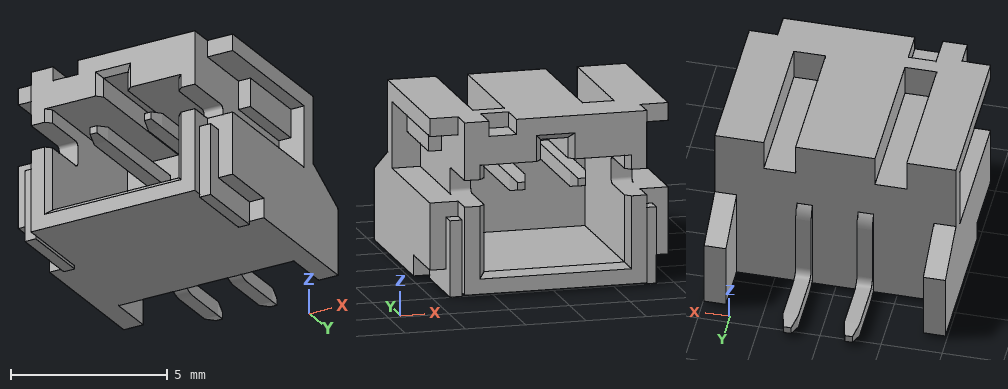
import cadquery as cq


body_width = 7.9
body_height = 5.7
nose_width = 6.04
nose_length = 0.81
roof_length = 6.0
wing_end = 7.6
wing_thickness = 0.72
slope_low = 2.38
slope_high = 3.3

cavity_width = 4.65
cavity_depth = 5.005
cavity_floor = 0.7
cavity_ceiling = 4.265
keyway_width = 0.9
keyway_top = 4.94
mouth_chamfer = 0.19

channel_floor = 2.915
channel_ceiling = 5.11
channel_end = 5.41
rib_height = 1.015
rib_half_span = 3.46
rib_start = 2.81
slit_end = 1.81
slit_top = 3.79
slit_fillet = 0.15

slot_inner = 1.3
slot_width = 1.04
slot_start = 1.5
slot_depth = 1.1
notch_width = 0.91
notch_length = 1.0
notch_depth = 0.5

tab_half_span = 3.42
tab_front = 0.31
tab_end = 2.81
tab_top = 2.42
tab_drop = 0.11

pin_pitch = 2.0
pin_size = 0.51
pin_tip_size = 0.25
pin_taper = 0.5
pin_front = 0.5
pin_end = 8.6
pin_drop = 0.07
pin_riser_back = 6.19
bend_inner = 0.3

pin_axis = (slit_top + channel_floor) / 2
half_body = body_width / 2
half_nose = nose_width / 2
half_cavity = cavity_width / 2


def block(x_range, y_range, z_range):
    """Box between opposite limits on each axis."""
    lows, highs = zip(x_range, y_range, z_range)
    sizes = [high - low for low, high in zip(lows, highs)]
    return cq.Workplane("XY").box(*sizes, centered=False).translate(lows)


def both_sides(solid):
    """The solid together with its mirror image across the YZ plane."""
    return solid.union(solid.mirror("YZ"))


def make_housing():
    side_outline = [
        (0, 0),
        (wing_end, 0),
        (wing_end, slope_low),
        (roof_length, slope_high),
        (roof_length, body_height),
        (0, body_height),
    ]
    housing = cq.Workplane("YZ").polyline(side_outline).close().extrude(half_body, both=True)
    half_gap = half_body - wing_thickness
    wing_gap = block((-half_gap, half_gap), (roof_length, wing_end), (0, body_height))
    nose_step = block((half_nose, half_body), (0, nose_length), (0, body_height))
    return housing.cut(wing_gap).cut(both_sides(nose_step))


def flared_opening(half_width, floor, top, floor_chamfer, top_chamfer):
    """Rectangular opening from the mating face, flared at the mouth on its sides and as asked in Z."""
    opening = block((-half_width, half_width), (0, cavity_depth), (floor, top))
    mouth_half = half_width + mouth_chamfer
    flare = (
        cq.Workplane("XZ")
        .polyline([
            (-mouth_half, floor - floor_chamfer),
            (mouth_half, floor - floor_chamfer),
            (mouth_half, top + top_chamfer),
            (-mouth_half, top + top_chamfer),
        ])
        .close()
        .workplane(offset=-mouth_chamfer)
        .polyline([(-half_width, floor), (half_width, floor), (half_width, top), (-half_width, top)])
        .close()
        .loft(ruled=True)
    )
    return opening.union(flare)


def make_cavity():
    main = flared_opening(half_cavity, cavity_floor, cavity_ceiling, mouth_chamfer, 0)
    keyway = flared_opening(keyway_width / 2, cavity_ceiling, keyway_top, 0, mouth_chamfer)
    return main.union(keyway)


def make_side_channels():
    channel = block((half_nose, half_body), (nose_length, channel_end), (channel_floor, channel_ceiling))
    rib = block(
        (half_nose, rib_half_span),
        (rib_start, channel_end),
        (channel_ceiling - rib_height, channel_ceiling),
    )
    return both_sides(channel.cut(rib))


def make_side_slits():
    """Slits from the mating face that open each side of the cavity."""
    slit = block((half_cavity, half_nose), (0, slit_end), (channel_floor, slit_top))
    return both_sides(slit.faces(">Y").edges("|X").fillet(slit_fillet))


def make_roof_cuts():
    slot = block(
        (slot_inner, slot_inner + slot_width),
        (slot_start, roof_length),
        (body_height - slot_depth, body_height),
    )
    notch = block(
        (-slot_inner - notch_width, -slot_inner),
        (0, notch_length),
        (body_height - notch_depth, body_height),
    )
    return both_sides(slot).union(notch)


def make_tabs():
    upright = block((half_nose, tab_half_span), (tab_front, nose_length), (-tab_drop, tab_top))
    foot = block((half_nose, tab_half_span), (tab_front, tab_end), (-tab_drop, cavity_floor))
    return both_sides(upright.union(foot))


def make_tab_reliefs():
    """Clearance in the lower edge of the housing, outside each tab foot."""
    return both_sides(block((tab_half_span, half_body), (nose_length, tab_end), (0, cavity_floor)))


def pin_tip(base_y, height, end_y):
    """Square taper from the full pin section at base_y to the small end at end_y."""
    return (
        cq.Workplane("XZ", origin=(0, base_y, height))
        .rect(pin_size, pin_size)
        .workplane(offset=base_y - end_y)
        .rect(pin_tip_size, pin_tip_size)
        .loft(ruled=True)
    )


def make_pin():
    """Contact that runs back, bends down behind the cavity and bends out as a solder tail."""
    contact_start = pin_front + pin_taper
    tail_start = pin_end - pin_taper
    tail_axis = pin_size / 2 - pin_drop
    bend_radius = bend_inner + pin_size / 2
    riser_y = pin_riser_back - pin_size / 2
    path = (
        cq.Workplane("YZ")
        .moveTo(contact_start, pin_axis)
        .lineTo(riser_y - bend_radius, pin_axis)
        .tangentArcPoint((riser_y, pin_axis - bend_radius), relative=False)
        .lineTo(riser_y, tail_axis + bend_radius)
        .tangentArcPoint((riser_y + bend_radius, tail_axis), relative=False)
        .lineTo(tail_start, tail_axis)
    )
    rod = cq.Workplane("XZ", origin=(0, contact_start, pin_axis)).rect(pin_size, pin_size).sweep(path)
    contact_tip = pin_tip(contact_start, pin_axis, pin_front)
    tail_tip = pin_tip(tail_start, tail_axis, pin_end)
    return rod.union(contact_tip).union(tail_tip).translate((pin_pitch / 2, 0, 0))


result = (
    make_housing()
    .cut(make_cavity())
    .cut(make_side_channels())
    .cut(make_side_slits())
    .cut(make_roof_cuts())
    .cut(make_tab_reliefs())
    .union(make_tabs())
    .union(both_sides(make_pin()))
)